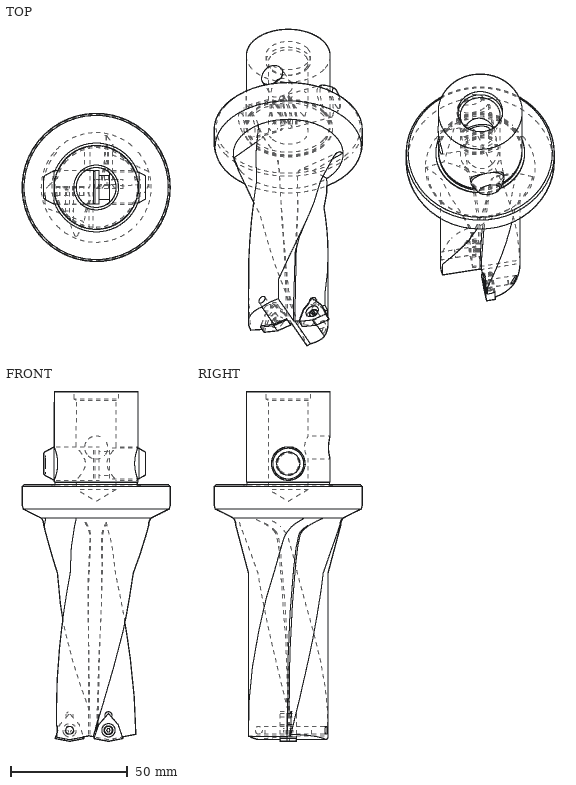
import cadquery as cq
import math

TOTAL_LENGTH = 149.8
SHANK_RADIUS = 18.0
FLANGE_RADIUS = 31.8
DRILL_RADIUS = 17.1
FLANGE_TOP = 110.0
FLANGE_CHAMFER = 0.9
FLANGE_RIM_BOTTOM = 101.1
FLANGE_EDGE_BOTTOM = 99.5
FLANGE_EDGE_DROP = 0.5
NECK_TOP = 95.5
NECK_TOP_RADIUS = 23.5
CONE_TOP = 92.9
CONE_TOP_RADIUS = 22.6
CONE_BOTTOM = 72.0
NECK_BLEND_SAG = 0.3
TIP_RIDGE_HEIGHT = 0.7

UNDERCUT_TOP = 111.2
UNDERCUT_DEPTH = 0.3
UNDERCUT_FLOOR = 109.4
UNDERCUT_OUTER_RADIUS = 19.0

BORE_RADIUS = 8.5
BORE_FLOOR = 107.9
BORE_POINT_ANGLE = 118.0
COUNTERBORE_RADIUS = 9.6
COUNTERBORE_DEPTH = 3.1
BORE_CONE_HEIGHT = 0.6

ACCESS_HOLE_RADIUS = 5.0
ACCESS_HOLE_HEIGHT = 125.8

PIN_HEIGHT = 119.0
PIN_RADIUS = 7.2
PIN_TIP_RADIUS = 4.5
PIN_TIP_END = -22.5
PIN_TIP_CHAMFER = 0.7
PIN_SHOULDER_X = -18.6
PIN_SHOULDER_RADIUS = 6.9
PIN_SHOULDER_LENGTH = 0.6
PIN_JOINT = -0.6
PIN_JOINT_CHAMFER = 0.5
HEAD_COLLAR_END = 1.2
HEAD_NECK_RADIUS = 5.1
HEAD_NECK_END = 5.7
HEAD_RADIUS = 6.6
HEAD_CONE_START = 18.3
HEAD_FACE_RADIUS = 5.0
HEAD_END = 21.1

RUNOUT_START = 86.9
LEAD_RUNOUT_TWIST = 8.0
TRAIL_RUNOUT_TWIST = 22.0
ROOT_START_ANGLE = -5.0
ROOT_TWIST = 65.0
ROOT_RUNOUT_TWIST = 9.0
ROOT_END_RADIUS = 5.1
ROOT_RUNOUT_GROWTH = 10.6
ROOT_HALF_WIDTH = 0.37
WALL_EXTENSION = 3.0
HELIX_STEPS = 5
RUNOUT_STEPS = 4
BELOW_TIP = -1.5

CENTRAL_FLUTE = dict(
    start=BELOW_TIP,
    lead_end=72.0,
    trail_start=-8.0,
    trail_end=85.0,
    trail_ease=0.0,
    root_start_radius=0.5,
)

OUTER_FLUTE = dict(
    start=12.7,
    lead_end=60.5,
    trail_start=9.0,
    trail_end=90.0,
    trail_ease=0.35,
    root_start_radius=3.0,
)

INSERT_CORNERS = 3
CORNER_SPACING = 360 / INSERT_CORNERS
INSERT_CORNER_RADIUS = 7.2
INSERT_SIDE_RADIUS = 4.8
INSERT_HEIGHT = 4.8
INSERT_FACE = -0.5
INSERT_THICKNESS = 3.9
CENTRAL_INSERT_X = 5.2
OUTER_INSERT_X = 11.4
POCKET_CLEARANCE = 0.6
CORNER_RELIEF_RADIUS = 1.5
SIDE_RELIEF_INSET = 4.3
SIDE_RELIEF_TOP = 6.6
SCREW_SEAT_RADIUS = 2.8
SCREW_RADIUS = 1.6
SCREW_CONE_HEIGHT = 1.5
SCREW_HEAD_SINK = 1.2
SCREW_LENGTH = 10.5
SOCKET_SIDES = 6
SOCKET_RADIUS = 0.7
SOCKET_DEPTH = 1.2


def polar(radius, angle, height=0):
    turn = math.radians(angle)
    return cq.Vector(radius * math.cos(turn), radius * math.sin(turn), height)


def half_turn(shape):
    return shape.rotate((0, 0, 0), (0, 0, 1), 180)


def body_blank():
    neck_blend_mid = (
        (NECK_TOP_RADIUS + CONE_TOP_RADIUS) / 2 - NECK_BLEND_SAG,
        (NECK_TOP + CONE_TOP) / 2,
    )
    undercut_radius = SHANK_RADIUS - UNDERCUT_DEPTH
    return (
        cq.Workplane("XZ")
        .moveTo(0, 0)
        .lineTo(DRILL_RADIUS, 0)
        .lineTo(DRILL_RADIUS, CONE_BOTTOM)
        .lineTo(CONE_TOP_RADIUS, CONE_TOP)
        .threePointArc(neck_blend_mid, (NECK_TOP_RADIUS, NECK_TOP))
        .lineTo(FLANGE_RADIUS - FLANGE_EDGE_DROP, FLANGE_EDGE_BOTTOM)
        .lineTo(FLANGE_RADIUS, FLANGE_RIM_BOTTOM)
        .lineTo(FLANGE_RADIUS, FLANGE_TOP - FLANGE_CHAMFER)
        .lineTo(FLANGE_RADIUS - FLANGE_CHAMFER, FLANGE_TOP)
        .lineTo(UNDERCUT_OUTER_RADIUS, FLANGE_TOP)
        .lineTo(UNDERCUT_OUTER_RADIUS, UNDERCUT_FLOOR)
        .lineTo(undercut_radius, UNDERCUT_FLOOR)
        .lineTo(undercut_radius, UNDERCUT_TOP - UNDERCUT_DEPTH)
        .lineTo(SHANK_RADIUS, UNDERCUT_TOP)
        .lineTo(SHANK_RADIUS, TOTAL_LENGTH)
        .lineTo(0, TOTAL_LENGTH)
        .close()
        .revolve(360, (0, 0, 0), (0, 1, 0))
    )


def shank_bore():
    step = TOTAL_LENGTH - COUNTERBORE_DEPTH
    point_depth = BORE_RADIUS / math.tan(math.radians(BORE_POINT_ANGLE / 2))
    return (
        cq.Workplane("XZ")
        .moveTo(0, BORE_FLOOR - point_depth)
        .lineTo(BORE_RADIUS, BORE_FLOOR)
        .lineTo(BORE_RADIUS, step - BORE_CONE_HEIGHT)
        .lineTo(COUNTERBORE_RADIUS, step)
        .lineTo(COUNTERBORE_RADIUS, TOTAL_LENGTH)
        .lineTo(0, TOTAL_LENGTH)
        .close()
        .revolve(360, (0, 0, 0), (0, 1, 0))
    )


def pin_hole():
    return (
        cq.Workplane("YZ")
        .center(0, PIN_HEIGHT)
        .circle(PIN_RADIUS)
        .extrude(FLANGE_RADIUS, both=True)
    )


def access_hole():
    return (
        cq.Workplane("XZ")
        .center(0, ACCESS_HOLE_HEIGHT)
        .circle(ACCESS_HOLE_RADIUS)
        .extrude(-FLANGE_RADIUS)
    )


def drill_radius_at(height):
    cone_share = (height - CONE_BOTTOM) / (CONE_TOP - CONE_BOTTOM)
    return DRILL_RADIUS + max(0, cone_share) * (CONE_TOP_RADIUS - DRILL_RADIUS)


def flute_corners(height, start, lead_end, trail_start, trail_end, trail_ease, root_start_radius):
    """Corners of the wedge cut by a flute on the +X, -Y side at one height."""
    helix = (min(height, RUNOUT_START) - start) / (RUNOUT_START - start)
    runout = max(0, height - RUNOUT_START) / (NECK_TOP - RUNOUT_START)
    trail_share = helix + trail_ease * helix * (1 - helix)
    lead_angle = lead_end * helix + LEAD_RUNOUT_TWIST * runout
    trail_turn = trail_start + (trail_end - trail_start) * trail_share
    trail_angle = trail_turn - 90 + TRAIL_RUNOUT_TWIST * runout**2
    root_angle = ROOT_START_ANGLE + ROOT_TWIST * helix**1.5 + ROOT_RUNOUT_TWIST * runout
    root_growth = (ROOT_END_RADIUS - root_start_radius) * helix**2
    root_radius = root_start_radius + root_growth + ROOT_RUNOUT_GROWTH * runout**2

    edge_radius = drill_radius_at(height)
    lead_edge = polar(edge_radius, lead_angle, height)
    trail_edge = polar(edge_radius, trail_angle, height)
    root = polar(root_radius, root_angle, height)
    across_root = polar(ROOT_HALF_WIDTH, (lead_angle + trail_angle) / 2 + 90)
    lead_root = root + across_root
    trail_root = root - across_root
    return [
        lead_root,
        lead_root + (lead_edge - lead_root) * WALL_EXTENSION,
        trail_root + (trail_edge - trail_root) * WALL_EXTENSION,
        trail_root,
    ]


def wedge_face(corners):
    return cq.Face.makeFromWires(cq.Wire.makePolygon(corners, close=True))


def helical_flute(form):
    """Solid between ruled walls that follow the path of each wedge corner."""
    start = form["start"]
    pitch = (RUNOUT_START - start) / HELIX_STEPS
    runout_pitch = (NECK_TOP - RUNOUT_START) / RUNOUT_STEPS
    heights = [start + i * pitch for i in range(HELIX_STEPS)]
    heights += [RUNOUT_START + i * runout_pitch for i in range(RUNOUT_STEPS + 1)]
    sections = [flute_corners(height, **form) for height in heights]
    paths = [cq.Edge.makeSpline(list(corner_path)) for corner_path in zip(*sections)]
    walls = [cq.Face.makeRuledSurface(paths[i - 1], paths[i]) for i in range(len(paths))]
    ends = [wedge_face(sections[0]), wedge_face(sections[-1])]
    return cq.Workplane(cq.Solid.makeSolid(cq.Shell.makeShell(walls + ends)).fix())


def straight_flute(form):
    """Continues the lowest section of a flute straight down past the tip."""
    start = form["start"]
    lowest = wedge_face(flute_corners(start, **form))
    return cq.Workplane(cq.Solid.extrudeLinear(lowest, cq.Vector(0, 0, BELOW_TIP - start)))


def tip_cut():
    """Space below the end face, which has one ridge behind each insert."""
    half_spacing = math.radians(CORNER_SPACING / 2)
    corner_run = INSERT_CORNER_RADIUS * math.sin(half_spacing)
    corner_rise = INSERT_SIDE_RADIUS - INSERT_CORNER_RADIUS * math.cos(half_spacing)
    slope = corner_rise / corner_run
    valley_x = (CENTRAL_INSERT_X - OUTER_INSERT_X) / 2
    valley_rise = slope * (CENTRAL_INSERT_X - valley_x)
    central_rise = slope * (FLANGE_RADIUS - CENTRAL_INSERT_X)
    outer_rise = slope * (FLANGE_RADIUS - OUTER_INSERT_X)
    return (
        cq.Workplane("XZ")
        .moveTo(-FLANGE_RADIUS, BELOW_TIP)
        .lineTo(-FLANGE_RADIUS, TIP_RIDGE_HEIGHT + outer_rise)
        .lineTo(-OUTER_INSERT_X, TIP_RIDGE_HEIGHT)
        .lineTo(valley_x, TIP_RIDGE_HEIGHT + valley_rise)
        .lineTo(CENTRAL_INSERT_X, TIP_RIDGE_HEIGHT)
        .lineTo(FLANGE_RADIUS, TIP_RIDGE_HEIGHT + central_rise)
        .lineTo(FLANGE_RADIUS, BELOW_TIP)
        .close()
        .extrude(FLANGE_RADIUS, both=True)
    )


def trigon(centre_x, start, length):
    """Three-cornered prism from y = start towards +Y, one corner pointing up."""
    points = []
    for i in range(INSERT_CORNERS):
        corner_angle = 90 + CORNER_SPACING * i
        points.append(polar(INSERT_CORNER_RADIUS, corner_angle))
        points.append(polar(INSERT_SIDE_RADIUS, corner_angle + CORNER_SPACING / 2))
    return (
        cq.Workplane("XZ", origin=(centre_x, start, INSERT_HEIGHT))
        .polyline([point.toTuple()[:2] for point in points])
        .close()
        .extrude(-length)
    )


def insert_blank(centre_x):
    return trigon(centre_x, INSERT_FACE, INSERT_THICKNESS)


def screw_profile(centre_x, sink, length):
    """Countersunk shape along +Y, its top sunk below the insert face."""
    top_radius = SCREW_SEAT_RADIUS - (SCREW_SEAT_RADIUS - SCREW_RADIUS) * sink / SCREW_CONE_HEIGHT
    return (
        cq.Workplane("XY", origin=(centre_x, INSERT_FACE, INSERT_HEIGHT))
        .moveTo(0, sink)
        .lineTo(top_radius, sink)
        .lineTo(SCREW_RADIUS, SCREW_CONE_HEIGHT)
        .lineTo(SCREW_RADIUS, length)
        .lineTo(0, length)
        .close()
        .revolve(360, (0, 0, 0), (0, 1, 0))
    )


def insert(centre_x):
    return insert_blank(centre_x).cut(screw_profile(centre_x, 0, SCREW_LENGTH))


def insert_screw(centre_x):
    socket = (
        cq.Workplane("XZ", origin=(centre_x, INSERT_FACE, INSERT_HEIGHT))
        .polygon(SOCKET_SIDES, 2 * SOCKET_RADIUS)
        .extrude(-SCREW_HEAD_SINK - SOCKET_DEPTH)
    )
    return screw_profile(centre_x, SCREW_HEAD_SINK, SCREW_LENGTH).cut(socket)


def insert_pocket(centre_x):
    seat = insert_blank(centre_x)
    clearance = (
        trigon(centre_x, INSERT_FACE - DRILL_RADIUS, DRILL_RADIUS)
        .faces("<Y")
        .wires()
        .toPending()
        .offset2D(POCKET_CLEARANCE)
        .extrude(-DRILL_RADIUS)
    )
    relief = (
        cq.Workplane("XZ", origin=(centre_x, INSERT_FACE, INSERT_HEIGHT + INSERT_CORNER_RADIUS))
        .center(0, -CORNER_RELIEF_RADIUS / 2)
        .circle(CORNER_RELIEF_RADIUS)
        .extrude(-INSERT_THICKNESS)
    )
    screw_hole = screw_profile(centre_x, 0, FLANGE_RADIUS)
    return seat.union(clearance).union(relief).union(screw_hole)


def outer_side_relief():
    """Opens the outer pocket sideways, so that the side of the insert is bare."""
    inner_x = OUTER_INSERT_X + SIDE_RELIEF_INSET
    return cq.Workplane("XY", origin=(inner_x, INSERT_FACE, 0)).box(
        DRILL_RADIUS, INSERT_THICKNESS, SIDE_RELIEF_TOP, centered=False
    )


def make_body():
    body = body_blank().cut(shank_bore()).cut(pin_hole()).cut(access_hole())
    body = body.cut(helical_flute(CENTRAL_FLUTE))
    body = body.cut(half_turn(helical_flute(OUTER_FLUTE)))
    body = body.cut(half_turn(straight_flute(OUTER_FLUTE)))
    body = body.cut(tip_cut())
    body = body.cut(insert_pocket(CENTRAL_INSERT_X))
    body = body.cut(half_turn(insert_pocket(OUTER_INSERT_X)))
    return body.cut(half_turn(outer_side_relief()))


def pin_part(points):
    """Turned part about the cross pin axis from (x, radius) points."""
    return (
        cq.Workplane("XY", origin=(0, 0, PIN_HEIGHT))
        .polyline(points)
        .close()
        .revolve(360, (0, 0, 0), (1, 0, 0))
    )


def make_pin():
    return pin_part([
        (PIN_TIP_END, 0),
        (PIN_TIP_END, PIN_TIP_RADIUS),
        (PIN_TIP_END + PIN_TIP_CHAMFER, PIN_TIP_RADIUS + PIN_TIP_CHAMFER),
        (PIN_SHOULDER_X, PIN_SHOULDER_RADIUS),
        (PIN_SHOULDER_X + PIN_SHOULDER_LENGTH, PIN_RADIUS),
        (PIN_JOINT - PIN_JOINT_CHAMFER, PIN_RADIUS),
        (PIN_JOINT, PIN_RADIUS - PIN_JOINT_CHAMFER),
        (PIN_JOINT, 0),
    ])


def make_pin_head():
    return pin_part([
        (PIN_JOINT, 0),
        (PIN_JOINT, PIN_RADIUS),
        (HEAD_COLLAR_END, PIN_RADIUS),
        (HEAD_COLLAR_END, HEAD_NECK_RADIUS),
        (HEAD_NECK_END, HEAD_NECK_RADIUS),
        (HEAD_NECK_END, HEAD_RADIUS),
        (HEAD_CONE_START, HEAD_RADIUS),
        (HEAD_END, HEAD_FACE_RADIUS),
        (HEAD_END, 0),
    ])


body = make_body()
pin = make_pin()
pin_head = make_pin_head()
inserts = [insert(CENTRAL_INSERT_X), half_turn(insert(OUTER_INSERT_X))]
screws = [insert_screw(CENTRAL_INSERT_X), half_turn(insert_screw(OUTER_INSERT_X))]

result = cq.Compound.makeCompound([
    body.val(),
    pin.val(),
    pin_head.val(),
    *[part.val() for part in inserts],
    *[part.val() for part in screws],
])